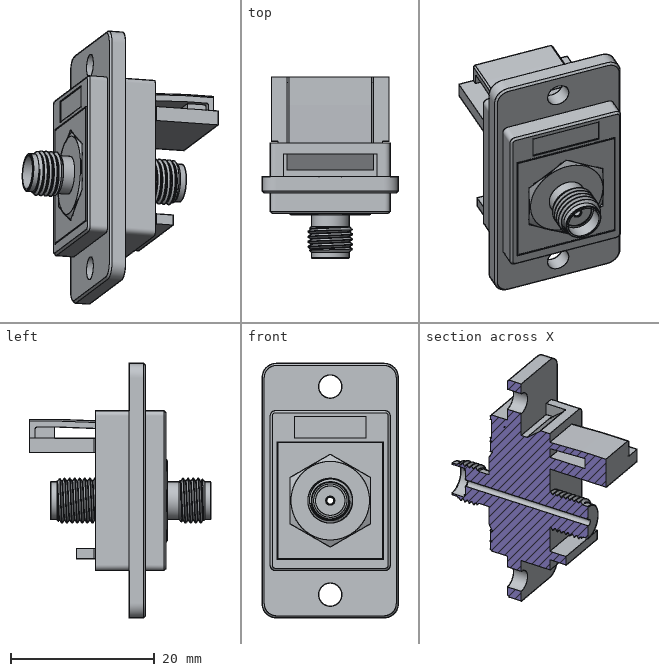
import cadquery as cq
import math


flange_width = 19.0
flange_height = 35.5
flange_thickness = 2.3
flange_corner_radius = 2.0
front_edge_chamfer = 0.3
screw_hole_diameter = 3.2
screw_hole_offset = 14.5

body_width = 16.75
body_height = 22.3
body_front_y = -5.15
body_rear_y = 4.7
body_corner_radius = 0.75

label_width = 10.0
label_bottom_z = 7.3
label_top_z = 10.3
label_depth = 0.2
insert_width = 14.8
insert_bottom_z = -9.6
insert_top_z = 6.8
insert_gap = 0.12
insert_gap_depth = 0.3

axis_z = -1.4
nut_across_flats = 11.2
nut_face_diameter = 10.95
nut_protrusion = 0.2
nut_seat_depth = 1.0
nut_front_y = body_front_y - nut_protrusion
nut_rear_y = body_front_y + nut_seat_depth
nut_chamfer_angle = 30.0

connector_front_y = -11.4
connector_rear_y = 11.0
barrel_diameter = 5.3
barrel_end_chamfer = 0.1
thread_diameter = 6.25
thread_pitch = 25.4 / 36
thread_root_diameter = 5.5
thread_crest = 0.08
thread_root_gap = 0.02
thread_overlap = 0.05
thread_clearance = 0.3
front_thread_end_y = -10.55
front_thread_start_y = -6.95
front_ridge_start_y = -6.62
rear_thread_end_y = 4.3
rear_thread_start_y = 10.1
rear_ridge_start_y = 10.6
socket_diameter = 4.65
socket_depth = 2.0
insulator_diameter = 4.1
insulator_setback = 0.15
contact_diameter = 1.27
contact_setback = 0.1
contact_hole_diameter = 0.95

latch_width = 12.0
window_width = 13.1
window_length = 3.15
window_depth = 1.8
ramp_start_y = 0.95
ramp_rise = 1.75

rear_end_y = 13.9
latch_top_z = 9.94
latch_drop = 0.2
latch_crease_y = 9.96
latch_thickness = 1.1
latch_chamfer = 0.25
latch_leg_length = 0.77
latch_fillet = 0.3
block_front_y = 10.4
block_width = 9.8
shelf_width = 16.4
shelf_top_z = 7.3
shelf_bottom_z = 5.3
lug_top_z = -8.05
lug_bottom_z = -9.5
lug_end_y = 7.35
neck_width = 14.6
neck_length = 0.2


def box(x_size, y_from, y_to, z_from, z_to):
    """Box centred on X between the given Y and Z limits."""
    middle = (0, (y_from + y_to) / 2, (z_from + z_to) / 2)
    return cq.Workplane("XY").box(x_size, abs(y_to - y_from), abs(z_to - z_from)).translate(middle)


def cylinder(diameter, y_from, y_to):
    """Cylinder on the connector axis."""
    base = cq.Workplane("XZ", origin=(0, y_to, axis_z))
    return base.circle(diameter / 2).extrude(y_to - y_from)


def rounded_plate(width, height, y_front, y_rear, corner_radius):
    """Plate with round corners and a chamfered front edge."""
    plate = box(width, y_front, y_rear, -height / 2, height / 2)
    return plate.edges("|Y").fillet(corner_radius).faces("<Y").chamfer(front_edge_chamfer)


def housing():
    """Flange with its screw holes, joined to the body."""
    flange = rounded_plate(flange_width, flange_height, -flange_thickness, 0, flange_corner_radius)
    holes = (
        cq.Workplane("XZ")
        .pushPoints([(0, screw_hole_offset), (0, -screw_hole_offset)])
        .circle(screw_hole_diameter / 2)
        .extrude(flange_thickness)
    )
    body = rounded_plate(body_width, body_height, body_front_y, body_rear_y, body_corner_radius)
    return flange.cut(holes).union(body)


def label_recess():
    """Shallow rectangular pocket above the insert."""
    return box(label_width, body_front_y, body_front_y + label_depth, label_bottom_z, label_top_z)


def insert_gap_groove():
    """Narrow groove that frames the insert."""
    floor_y = body_front_y + insert_gap_depth
    outer = box(insert_width, body_front_y, floor_y, insert_bottom_z, insert_top_z)
    inner = box(
        insert_width - 2 * insert_gap,
        body_front_y,
        floor_y,
        insert_bottom_z + insert_gap,
        insert_top_z - insert_gap,
    )
    return outer.cut(inner)


def hexagon(y_from, y_to):
    """Hexagonal prism on the connector axis with corners at its top and bottom."""
    hexagon_half_sector = 180 / 6
    across_corners = nut_across_flats / math.cos(math.radians(hexagon_half_sector))
    base = cq.Workplane("XZ", origin=(0, y_to, axis_z))
    turned = base.transformed(rotate=(0, 0, hexagon_half_sector))
    return turned.polygon(6, across_corners).extrude(y_to - y_from)


def nut():
    """Chamfered nut: the hexagon trimmed by a cone that widens from the front face."""
    length = nut_rear_y - nut_front_y
    face_radius = nut_face_diameter / 2
    rear_radius = face_radius + length / math.tan(math.radians(nut_chamfer_angle))
    face_centre = cq.Vector(0, nut_front_y, axis_z)
    cone = cq.Solid.makeCone(face_radius, rear_radius, length, face_centre, cq.Vector(0, 1, 0))
    return hexagon(nut_front_y, nut_rear_y).intersect(cq.Workplane(cone))


def window():
    """Pocket in the body top, ending at the flange."""
    top_z = body_height / 2
    return box(window_width, 0, window_length, top_z - window_depth, top_z)


def catch_ramp():
    """Wedge that climbs to the rear inside the window."""
    floor_z = body_height / 2 - window_depth
    profile = [
        (ramp_start_y, floor_z),
        (window_length, floor_z),
        (window_length, floor_z + ramp_rise),
    ]
    base = cq.Workplane("YZ", origin=(-latch_width / 2, 0, 0))
    return base.polyline(profile).close().extrude(latch_width)


def latch():
    """Arm with a rear leg that stands on the shelf, backed by a narrower block."""
    low_top_z = latch_top_z - latch_drop
    leg_front_y = rear_end_y - latch_leg_length
    base = cq.Workplane("YZ", origin=(-latch_width / 2, 0, 0))
    arm = (
        base.moveTo(body_rear_y, low_top_z)
        .lineTo(latch_crease_y, latch_top_z)
        .lineTo(rear_end_y, latch_top_z)
        .lineTo(rear_end_y, shelf_top_z)
        .lineTo(leg_front_y, shelf_top_z)
        .lineTo(leg_front_y, latch_top_z - latch_thickness - latch_fillet)
        .radiusArc((leg_front_y - latch_fillet, latch_top_z - latch_thickness), -latch_fillet)
        .lineTo(latch_crease_y, latch_top_z - latch_thickness)
        .lineTo(body_rear_y, low_top_z - latch_thickness)
        .close()
        .extrude(latch_width)
    )
    long_top_edges = cq.selectors.BoxSelector(
        (-latch_width, body_rear_y, low_top_z - latch_chamfer / 2),
        (latch_width, rear_end_y - latch_chamfer, latch_top_z + latch_chamfer),
    )
    arm = arm.edges("#X").edges(long_top_edges).chamfer(latch_chamfer)
    block = box(block_width, block_front_y, rear_end_y, shelf_top_z, latch_top_z - latch_thickness / 2)
    return arm.union(block)


def necked_bar(end_y, bottom_z, top_z):
    """Rear bar joined to the body by a short, narrower neck."""
    neck_end_y = body_rear_y + neck_length
    bar = box(shelf_width, neck_end_y, end_y, bottom_z, top_z)
    return bar.union(box(neck_width, body_rear_y, neck_end_y, bottom_z, top_z))


def thread_ridge(end_y, ridge_start_y):
    """Right-handed helical ridge that winds from ridge_start_y to beyond end_y."""
    inner_radius = thread_root_diameter / 2 - thread_overlap
    crest_radius = thread_diameter / 2
    root_half_width = (thread_pitch - thread_root_gap) / 2
    length = ridge_start_y - end_y + thread_pitch
    helix = cq.Wire.makeHelix(thread_pitch, length, inner_radius)
    profile = (
        cq.Workplane("XZ")
        .moveTo(inner_radius, -root_half_width)
        .lineTo(crest_radius, -thread_crest / 2)
        .lineTo(crest_radius, thread_crest / 2)
        .lineTo(inner_radius, root_half_width)
        .close()
    )
    ridge = profile.sweep(cq.Workplane(helix), isFrenet=True)
    return ridge.rotate((0, 0, 0), (1, 0, 0), 90).translate((0, ridge_start_y, axis_z))


def thread_end_stock(y, outward):
    """Ring that trims a thread to a 45-degree bevel at y.

    outward is 1 at the rear end of a thread and -1 at its front end.
    """
    far_pitches = 3
    barrel_radius = barrel_diameter / 2
    inner_radius = barrel_radius - thread_clearance
    outer_radius = thread_diameter / 2 + thread_clearance
    far_y = y + outward * far_pitches * thread_pitch
    bevel_y = y - outward * (outer_radius - barrel_radius)
    profile = [
        (inner_radius, y),
        (barrel_radius, y),
        (outer_radius, bevel_y),
        (outer_radius, far_y),
        (inner_radius, far_y),
    ]
    ring = cq.Workplane("XY").polyline(profile).close().revolve(360, (0, 0, 0), (0, 1, 0))
    return ring.translate((0, 0, axis_z))


def thread(end_y, start_y, ridge_start_y):
    """Threaded stretch with bevelled ends between end_y and start_y."""
    ridge = thread_ridge(end_y, ridge_start_y)
    ridge = ridge.cut(thread_end_stock(start_y, 1)).cut(thread_end_stock(end_y, -1))
    core = cylinder(thread_root_diameter, end_y, start_y)
    core = core.faces("<Y or >Y").edges().chamfer((thread_root_diameter - barrel_diameter) / 2)
    return core.union(ridge)


def connector():
    """Barrel with a thread at each end and a chamfer round both end faces."""
    barrel = cylinder(barrel_diameter, connector_front_y, connector_rear_y)
    barrel = barrel.faces("<Y or >Y").edges().chamfer(barrel_end_chamfer)
    barrel = barrel.union(thread(front_thread_end_y, front_thread_start_y, front_ridge_start_y))
    return barrel.union(thread(rear_thread_end_y, rear_thread_start_y, rear_ridge_start_y))


def socket():
    """Front bore, stepped round the insulator, with the contact hole through everything."""
    floor_y = connector_front_y + socket_depth
    insulator_y = floor_y + insulator_setback
    bore = cylinder(socket_diameter, connector_front_y, floor_y)
    insulator = cylinder(insulator_diameter, floor_y, insulator_y)
    contact = cylinder(contact_diameter, insulator_y, insulator_y + contact_setback)
    hole = cylinder(contact_hole_diameter, connector_front_y, connector_rear_y)
    return bore.union(insulator).union(contact).union(hole)


result = (
    housing()
    .cut(label_recess())
    .cut(insert_gap_groove())
    .cut(window())
    .union(catch_ramp())
    .cut(hexagon(body_front_y, nut_rear_y))
    .union(nut())
    .union(latch())
    .union(necked_bar(rear_end_y, shelf_bottom_z, shelf_top_z))
    .union(necked_bar(lug_end_y, lug_bottom_z, lug_top_z))
    .union(connector())
    .cut(socket())
)